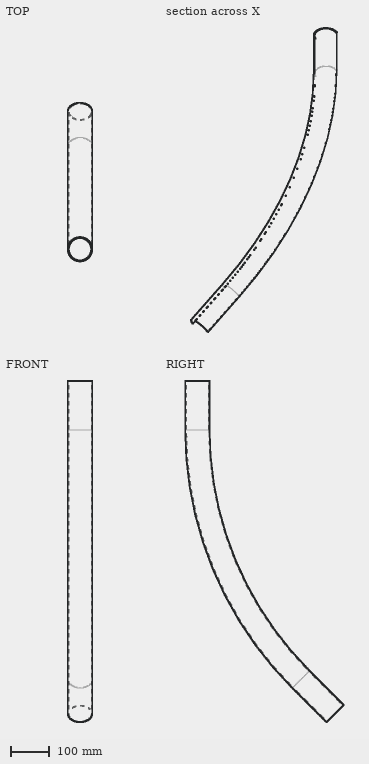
import cadquery as cq
import math

outer_diameter = 64.0
inner_diameter = 58.0
straight_length = 127.0
bend_radius = 915.0
bend_angle = 45.0


def arc_point(angle_degrees):
    """Centreline point (Y, Z) after bending from vertical towards +Y."""
    angle = math.radians(angle_degrees)
    y = bend_radius * (1 - math.cos(angle))
    z = -straight_length - bend_radius * math.sin(angle)
    return y, z


bend_end_y, bend_end_z = arc_point(bend_angle)
lower_end = (
    bend_end_y + straight_length * math.sin(math.radians(bend_angle)),
    bend_end_z - straight_length * math.cos(math.radians(bend_angle)),
)
centreline = (
    cq.Workplane("YZ")
    .moveTo(0, 0)
    .lineTo(0, -straight_length)
    .threePointArc(arc_point(bend_angle / 2), (bend_end_y, bend_end_z))
    .lineTo(*lower_end)
)

result = (
    cq.Workplane("XY")
    .circle(outer_diameter / 2)
    .circle(inner_diameter / 2)
    .sweep(centreline)
)